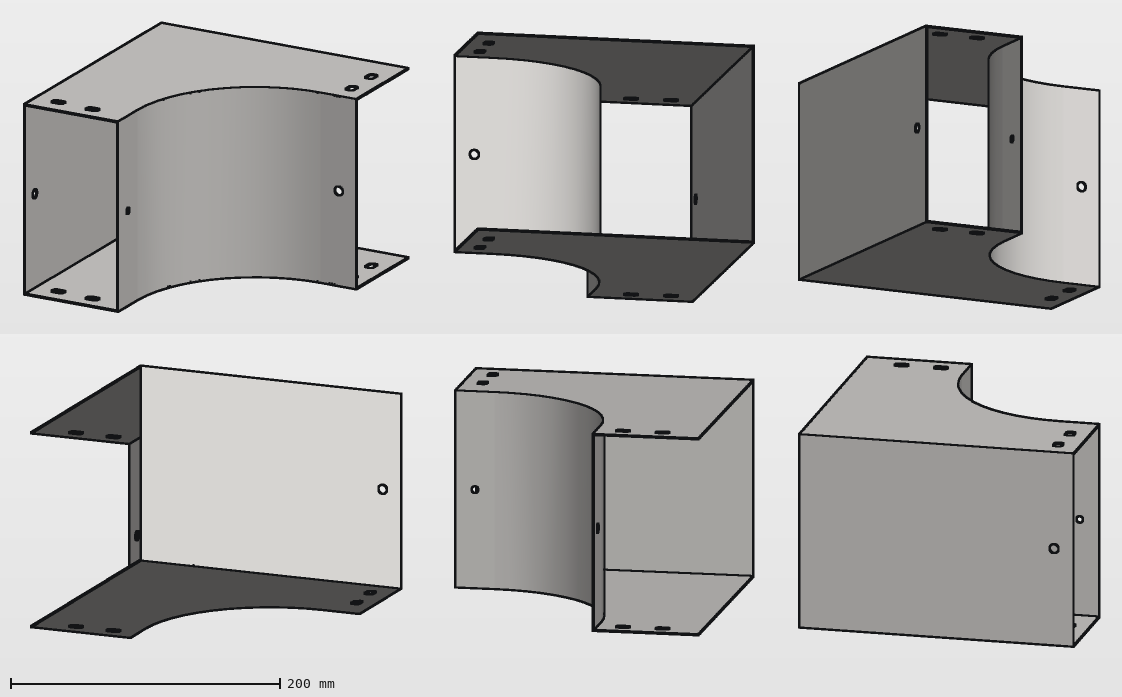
import cadquery as cq

side = 210.0
height = 150.0
leg_width = 80.0
bend_radius = 100.0
wall = 1.0
end_offset = 15.0
slot_length = 10.0
slot_width = 7.0
slot_corner_radius = 2.5
front_slot_places = (20.0, 50.0)
front_slot_offsets = (16.5, 15.0)
rear_slot_places = (30.0, 60.0)
hole_diameter = 7.0
small_hole_diameter = 5.0

bend_start = leg_width + bend_radius
mid_height = height / 2


def elbow(inset, depth):
    """Right-angle elbow inset from the left and inner side faces, open at the rear."""
    inner_x = leg_width - inset
    inner_y = side - leg_width + inset
    radius = bend_radius + inset
    arc_middle_x = bend_start - radius * 0.5 ** 0.5
    arc_middle_y = side - bend_start + radius * 0.5 ** 0.5
    return (
        cq.Workplane("XY")
        .moveTo(inset, 0)
        .lineTo(inner_x, 0)
        .lineTo(inner_x, side - bend_start)
        .threePointArc((arc_middle_x, arc_middle_y), (bend_start, inner_y))
        .lineTo(side, inner_y)
        .lineTo(side, side)
        .lineTo(inset, side)
        .close()
        .extrude(depth)
    )


def slot_cutter(x, y, length_x, length_y):
    """Rounded slot through the top and bottom walls."""
    return (
        cq.Workplane("XY")
        .center(x, y)
        .rect(length_x, length_y)
        .extrude(height)
        .edges("|Z")
        .fillet(slot_corner_radius)
    )


def hole_along_x(start, end, diameter):
    """Round hole through a side wall of the front leg."""
    return (
        cq.Workplane("YZ", origin=(start, end_offset, mid_height))
        .circle(diameter / 2)
        .extrude(end - start)
    )


cavity = elbow(wall, height - 2 * wall).translate((0, 0, wall))
duct = elbow(0, height).cut(cavity)

for place, offset in zip(front_slot_places, front_slot_offsets):
    duct = duct.cut(slot_cutter(place, offset, slot_length, slot_width))
for place in rear_slot_places:
    duct = duct.cut(slot_cutter(side - end_offset, side - place, slot_width, slot_length))

duct = duct.cut(hole_along_x(0, leg_width / 2, hole_diameter))
duct = duct.cut(hole_along_x(leg_width / 2, leg_width, small_hole_diameter))

rear_hole = (
    cq.Workplane("XZ", origin=(side - end_offset, side, mid_height))
    .circle(hole_diameter / 2)
    .extrude(leg_width)
)

result = duct.cut(rear_hole)